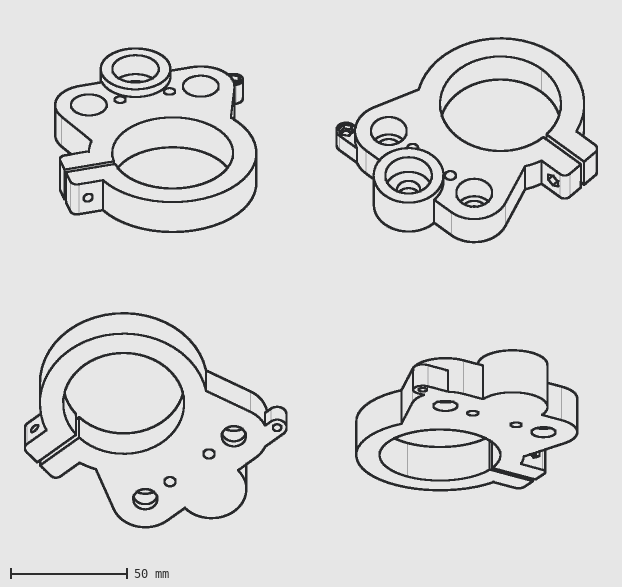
import cadquery as cq
import math

plate_height = 16.0
ring_radius = 36.0
ring_bore_diameter = 52.0

lug_half_width = 11.0
lug_end_y = -48.1
lug_corner_radius = 3.0
slit_width = 2.0
clamp_screw_y = -41.0
clamp_screw_diameter = 4.0

boss_diameter = 30.0
boss_height = 20.0
boss_x = ring_radius + boss_diameter / 2 - 109.2
socket_diameter = 20.0
socket_depth = 10.0
socket_pilot_diameter = 10.0
socket_pilot_depth = 5.0

lobe_radius = 14.5
lobe_x = boss_x + lobe_radius
lobe_y = 25.0
lobe_hole_diameter = 10.4
lobe_counterbore_diameter = 15.4
lobe_counterbore_depth = 12.0
flank_angle = math.radians(20)
flank_end_x = -10.9
small_hole_diameter = 4.8
small_hole_y = 11.0

ear_x = -52.3
ear_y = 42.0
ear_radius = 4.2
ear_height = 10.0
ear_hole_diameter = 3.6

nut_corner_diameter = 6.5
clamp_nut_depth = 3.0
ear_nut_depth = 2.6


def cylinder(diameter, height, x=0, y=0, bottom=0):
    return cq.Workplane("XY", origin=(x, y, bottom)).circle(diameter / 2).extrude(height)


def lobe_plate():
    """Straight left side, two tangent lobe arcs and two sloping flanks."""
    tangent_x = lobe_x + lobe_radius * math.sin(flank_angle)
    tangent_y = lobe_y + lobe_radius * math.cos(flank_angle)
    middle_x = lobe_x - lobe_radius * math.sin(math.pi / 4)
    middle_y = lobe_y + lobe_radius * math.cos(math.pi / 4)
    flank_end_y = tangent_y - (flank_end_x - tangent_x) * math.tan(flank_angle)
    return (
        cq.Workplane("XY")
        .moveTo(boss_x, -lobe_y)
        .lineTo(boss_x, lobe_y)
        .threePointArc((middle_x, middle_y), (tangent_x, tangent_y))
        .lineTo(flank_end_x, flank_end_y)
        .lineTo(flank_end_x, -flank_end_y)
        .lineTo(tangent_x, -tangent_y)
        .threePointArc((middle_x, -middle_y), (boss_x, -lobe_y))
        .close()
        .extrude(plate_height)
    )


def clamp_lugs():
    """One block with rounded outer corners; the slit later splits it in two."""
    return (
        cq.Workplane("XY")
        .box(2 * lug_half_width, -lug_end_y, plate_height, centered=(True, False, False))
        .translate((0, lug_end_y, 0))
        .edges("|Z and <Y")
        .fillet(lug_corner_radius)
    )


def ear():
    """Round-ended arm running from the ear hole down into the upper lobe."""
    arm_length = ear_y - lobe_y
    arm = (
        cq.Workplane("XY", origin=(ear_x, lobe_y, 0))
        .box(2 * ear_radius, arm_length, ear_height, centered=(True, False, False))
    )
    return arm.union(cylinder(2 * ear_radius, ear_height, ear_x, ear_y))


def cut_clamp(body):
    """Ring bore, slit, and the cross screw hole with its nut pocket."""
    slit = (
        cq.Workplane("XY", origin=(0, lug_end_y, 0))
        .box(slit_width, -lug_end_y, plate_height, centered=(True, False, False))
    )
    screw_plane = cq.Workplane("YZ", origin=(-lug_half_width, clamp_screw_y, plate_height / 2))
    screw_hole = screw_plane.circle(clamp_screw_diameter / 2).extrude(2 * lug_half_width)
    nut = (
        screw_plane.transformed(rotate=(0, 0, 90))
        .polygon(6, nut_corner_diameter)
        .extrude(clamp_nut_depth)
    )
    bore = cylinder(ring_bore_diameter, plate_height)
    return body.cut(bore).cut(slit).cut(screw_hole).cut(nut)


def cut_lobe_holes(body):
    """Counterbored hole and small through hole on each side of the boss."""
    counterbore_floor = plate_height - lobe_counterbore_depth
    for side in (-1, 1):
        hole_y = side * lobe_y
        body = body.cut(cylinder(lobe_hole_diameter, plate_height, lobe_x, hole_y))
        body = body.cut(
            cylinder(lobe_counterbore_diameter, lobe_counterbore_depth, lobe_x, hole_y, counterbore_floor)
        )
        body = body.cut(cylinder(small_hole_diameter, plate_height, lobe_x, side * small_hole_y))
    return body


def cut_socket(body):
    """Stepped blind socket in the boss."""
    socket_floor = boss_height - socket_depth
    pilot_floor = socket_floor - socket_pilot_depth
    body = body.cut(cylinder(socket_diameter, socket_depth, boss_x, 0, socket_floor))
    return body.cut(cylinder(socket_pilot_diameter, socket_pilot_depth, boss_x, 0, pilot_floor))


def cut_ear(body):
    """Screw hole with a nut pocket in the top of the ear."""
    nut = (
        cq.Workplane("XY", origin=(ear_x, ear_y, ear_height - ear_nut_depth))
        .polygon(6, nut_corner_diameter)
        .extrude(ear_nut_depth)
    )
    return body.cut(cylinder(ear_hole_diameter, ear_height, ear_x, ear_y)).cut(nut)


body = cylinder(2 * ring_radius, plate_height)
body = body.union(lobe_plate()).union(clamp_lugs()).union(ear())
body = body.union(cylinder(boss_diameter, boss_height, boss_x))
body = cut_clamp(body)
body = cut_lobe_holes(body)
body = cut_socket(body)
result = cut_ear(body)